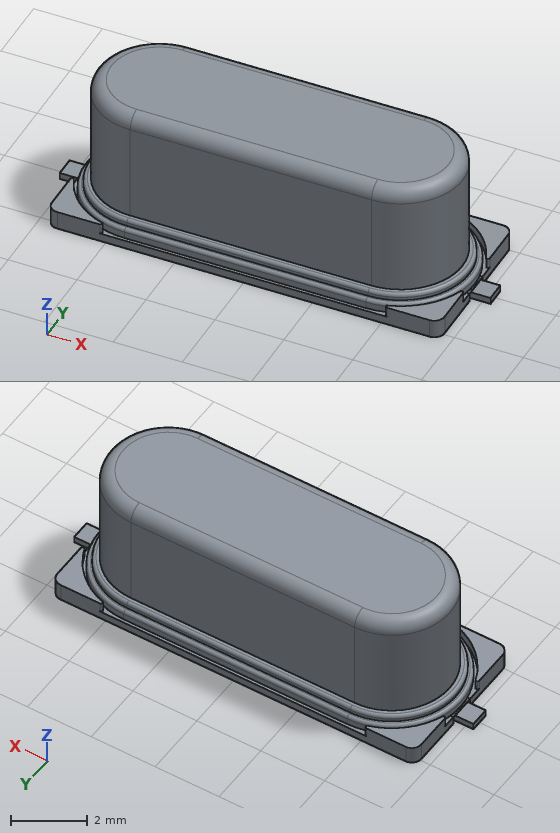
import cadquery as cq

PLATE_LENGTH = 11.4
PLATE_WIDTH = 4.5
PLATE_HEIGHT = 0.55
PLATE_CORNER_RADIUS = 0.3

ARC_CENTER_DISTANCE = 7.0

RECESS_RADIUS = PLATE_WIDTH / 2
RECESS_FLOOR = 0.25
SIDE_OPENING_LENGTH = 8.24
END_OPENING_WIDTH = 1.54
OPENING_CORNER_ROUND = 0.05

EDGE_ROUND = 0.1
HEADER_RADIUS = 2.15
HEADER_TOP = PLATE_HEIGHT
FLANGE_RADIUS = 2.0
FLANGE_TOP = 0.75

CAN_RADIUS = 1.8
CAN_TOP = 4.0
CAN_TOP_ROUND = 0.4

OVERALL_LENGTH = 12.5
LEAD_WIDTH = 0.6
LEAD_HEIGHT = 0.2
NOTCH_WIDTH = 0.8
NOTCH_HEIGHT = 0.23
NOTCH_DEPTH = 0.3


def rounded_end_prism(radius, bottom, top):
    """Upright prism with straight long sides and half-round ends."""
    outline = cq.Workplane("XY").workplane(offset=bottom)
    outline = outline.slot2D(ARC_CENTER_DISTANCE + 2 * radius, 2 * radius)
    return outline.extrude(top - bottom)


def centered_box(length, width, bottom, top):
    """Box centered on the Z axis between two heights."""
    return cq.Workplane("XY").workplane(offset=bottom).rect(length, width).extrude(top - bottom)


def make_plate():
    """Base plate with the header recess, rim openings and lead notches."""
    plate = centered_box(PLATE_LENGTH, PLATE_WIDTH, 0, PLATE_HEIGHT)
    plate = plate.edges("|Z").fillet(PLATE_CORNER_RADIUS)

    recess = rounded_end_prism(RECESS_RADIUS, RECESS_FLOOR, PLATE_HEIGHT)
    side_openings = centered_box(SIDE_OPENING_LENGTH, PLATE_WIDTH, RECESS_FLOOR, PLATE_HEIGHT)
    end_openings = centered_box(PLATE_LENGTH, END_OPENING_WIDTH, RECESS_FLOOR, PLATE_HEIGHT)
    plate = plate.cut(recess).cut(side_openings).cut(end_openings)

    outer_uprights = plate.faces("<X or >X or <Y or >Y").edges("|Z")
    opening_corners = outer_uprights.edges(cq.selectors.LengthNthSelector(0))
    plate = opening_corners.fillet(OPENING_CORNER_ROUND)

    outside_notches = centered_box(PLATE_LENGTH, NOTCH_WIDTH, 0, NOTCH_HEIGHT)
    between_notches = centered_box(PLATE_LENGTH - 2 * NOTCH_DEPTH, NOTCH_WIDTH, 0, NOTCH_HEIGHT)
    return plate.cut(outside_notches.cut(between_notches))


def make_header_and_can():
    """Stepped header and flange with rounded upper edges, topped by the can."""
    header = rounded_end_prism(HEADER_RADIUS, RECESS_FLOOR, HEADER_TOP)
    header = header.faces(">Z").edges().fillet(EDGE_ROUND)
    flange = rounded_end_prism(FLANGE_RADIUS, RECESS_FLOOR, FLANGE_TOP)
    flange = flange.faces(">Z").edges().fillet(EDGE_ROUND)
    can = rounded_end_prism(CAN_RADIUS, RECESS_FLOOR, CAN_TOP)
    can = can.faces(">Z").edges().fillet(CAN_TOP_ROUND)
    return header.union(flange).union(can)


def make_leads():
    """Both flat leads, as one strip running along the bottom of the plate."""
    return centered_box(OVERALL_LENGTH, LEAD_WIDTH, 0, LEAD_HEIGHT)


result = make_plate().union(make_header_and_can()).union(make_leads())